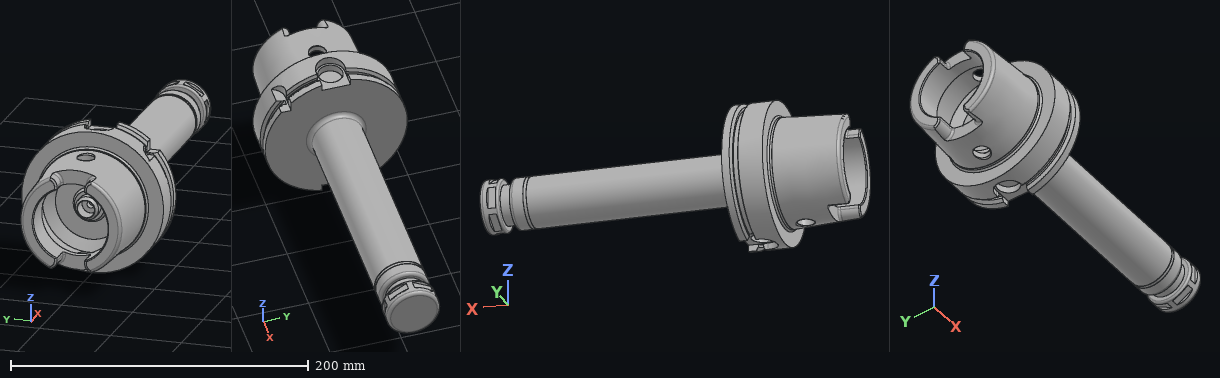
import cadquery as cq
import math


total_length = 260.0
relief_start = 47.0
flange_start = 50.0
flange_end = 78.8
neck_end = 239.5
nut_start = 246.5

mouth_radius = 35.5
taper_end_radius = 38.0
relief_radius = 38.2
flange_radius = 100.0 / 2
neck_radius = 36.0 / 2
stem_radius = 28.0 / 2
nut_radius = 18.7

mouth_round = 2.0
relief_flare = 1.3
neck_root_fillet = 3.0
neck_end_round = 2.3
nut_back_round = 1.5
nut_front_round = 2.3

groove_mouth_start = 67.0
groove_floor_start = 68.0
groove_floor_end = 71.8
groove_mouth_end = 73.3
groove_floor_radius = 45.8
groove_bevel_radius = 47.5

ring_groove_start = 227.0
ring_groove_end = 229.3
ring_groove_depth = 0.3

bore_radius = 26.3
bore_straight_end = 19.5
undercut_radius = 32.5
undercut_shoulder_angle = 60.0
undercut_end = 41.0
bore_floor_radius = 24.7
bore_depth = 45.5
bore_mouth_chamfer = 0.8

tube_tip = 35.0
tube_radius = 16.5 / 2
tube_tip_radius = 12.7 / 2
tube_bore_diameter = 12.0
tube_chamfer_length = 2.3
collar_start = 43.0
collar_radius = 12.2
collar_face_radius = 10.7
coolant_hole_diameter = 5.0
coolant_hole_depth = 5.2
coolant_jet_diameter = 2.0
coolant_jet_depth = 10.5

drive_slot_half_width = 9.75
drive_slot_upper_depth = 10.1
drive_slot_lower_depth = 15.0
drive_slot_floor_fillet = 1.5
drive_slot_mouth_flare = 1.5
drive_slot_flare_depth = 0.8
lug_round_start = 26.5
lug_round_radius = 6.0

access_x = 34.8
access_diameter = 12.0
access_chamfer = 0.65

key_center_x = 65.0
key_width = 20.0
key_floor = 44.5
key_hole_diameter = 17.0
key_hole_depth = 5.5
notch_inset = 31.7

flat_count = 6
flat_distance = 17.2
flat_outer_start = 248.3
flat_outer_end = 254.8
flat_wall_slope = 0.65


round_middle = 1 - math.sqrt(0.5)


def turned(profile):
    """Revolve a closed XY half profile about the X axis."""
    return profile.close().revolve(360, (0, 0, 0), (1, 0, 0))


def holder_body():
    """Outer turned shape from the taper mouth to the face of the nut."""
    profile = (
        cq.Workplane("XY")
        .moveTo(0, 0)
        .lineTo(0, mouth_radius - mouth_round)
        .threePointArc(
            (mouth_round * round_middle, mouth_radius - mouth_round * round_middle),
            (mouth_round, mouth_radius),
        )
        .lineTo(relief_start, taper_end_radius)
        .lineTo(relief_start, relief_radius)
        .lineTo(flange_start - relief_flare, relief_radius)
        .lineTo(flange_start, relief_radius + relief_flare)
        .lineTo(flange_start, flange_radius)
        .lineTo(groove_mouth_start, flange_radius)
        .lineTo(groove_floor_start, groove_bevel_radius)
        .lineTo(groove_floor_start, groove_floor_radius)
        .lineTo(groove_floor_end, groove_floor_radius)
        .lineTo(groove_floor_end, groove_bevel_radius)
        .lineTo(groove_mouth_end, flange_radius)
        .lineTo(flange_end, flange_radius)
        .lineTo(flange_end, neck_radius + neck_root_fillet)
        .threePointArc(
            (
                flange_end + neck_root_fillet * round_middle,
                neck_radius + neck_root_fillet * round_middle,
            ),
            (flange_end + neck_root_fillet, neck_radius),
        )
        .lineTo(ring_groove_start, neck_radius)
        .lineTo(ring_groove_start, neck_radius - ring_groove_depth)
        .lineTo(ring_groove_end, neck_radius - ring_groove_depth)
        .lineTo(ring_groove_end, neck_radius)
        .lineTo(neck_end - neck_end_round, neck_radius)
        .threePointArc(
            (neck_end - neck_end_round * round_middle, neck_radius - neck_end_round * round_middle),
            (neck_end, neck_radius - neck_end_round),
        )
        .lineTo(neck_end, stem_radius)
        .lineTo(nut_start, stem_radius)
        .lineTo(nut_start, nut_radius - nut_back_round)
        .threePointArc(
            (nut_start + nut_back_round * round_middle, nut_radius - nut_back_round * round_middle),
            (nut_start + nut_back_round, nut_radius),
        )
        .lineTo(total_length - nut_front_round, nut_radius)
        .threePointArc(
            (
                total_length - nut_front_round * round_middle,
                nut_radius - nut_front_round * round_middle,
            ),
            (total_length, nut_radius - nut_front_round),
        )
        .lineTo(total_length, 0)
    )
    return turned(profile)


def bore():
    """Undercut cavity of the hollow taper, leaving the coolant tube and its collar standing."""
    shoulder_rise = undercut_radius - bore_radius
    shoulder_length = shoulder_rise / math.tan(math.radians(undercut_shoulder_angle))
    profile = (
        cq.Workplane("XY")
        .moveTo(0, 0)
        .lineTo(0, bore_radius + bore_mouth_chamfer)
        .lineTo(bore_mouth_chamfer, bore_radius)
        .lineTo(bore_straight_end, bore_radius)
        .lineTo(bore_straight_end + shoulder_length, undercut_radius)
        .lineTo(undercut_end, undercut_radius)
        .lineTo(bore_depth, bore_floor_radius)
        .lineTo(bore_depth, collar_radius)
        .lineTo(collar_start, collar_face_radius)
        .lineTo(collar_start, tube_radius)
        .lineTo(tube_tip + tube_chamfer_length, tube_radius)
        .lineTo(tube_tip, tube_tip_radius)
        .lineTo(tube_tip, 0)
    )
    return turned(profile)


def coolant_passage():
    """Bore of the coolant tube, stepping down to a hole and a fine jet in its floor."""
    tube_bore = (
        cq.Workplane("YZ", origin=(tube_tip, 0, 0))
        .circle(tube_bore_diameter / 2)
        .extrude(bore_depth - tube_tip)
    )
    floor_plane = cq.Workplane("YZ", origin=(bore_depth, 0, 0))
    hole = floor_plane.circle(coolant_hole_diameter / 2).extrude(coolant_hole_depth)
    jet = floor_plane.circle(coolant_jet_diameter / 2).extrude(coolant_jet_depth)
    return tube_bore.union(hole).union(jet)


def drive_slot_outline():
    """Slot section seen along X: straight flanks that round outward over the lugs."""
    half = drive_slot_half_width
    outer_half = half + lug_round_radius
    lug_top = lug_round_start + lug_round_radius
    bottom = bore_radius / 2
    top = flange_radius
    mid_y = half + lug_round_radius * round_middle
    mid_z = lug_top - lug_round_radius * round_middle
    return (
        cq.Workplane("YZ")
        .moveTo(-half, bottom)
        .lineTo(half, bottom)
        .lineTo(half, lug_round_start)
        .threePointArc((mid_y, mid_z), (outer_half, lug_top))
        .lineTo(outer_half, top)
        .lineTo(-outer_half, top)
        .lineTo(-outer_half, lug_top)
        .threePointArc((-mid_y, mid_z), (-half, lug_round_start))
        .close()
    )


def drive_slot(depth):
    """Drive slot on the +Z side, filleted at its floor and bevelled at its mouth."""
    slot = drive_slot_outline().extrude(depth).faces(">X").edges().fillet(drive_slot_floor_fillet)
    flare_angle = math.degrees(math.atan2(drive_slot_mouth_flare, drive_slot_flare_depth))
    flare = (
        drive_slot_outline()
        .offset2D(drive_slot_mouth_flare)
        .extrude(drive_slot_flare_depth, taper=flare_angle)
    )
    return slot.union(flare)


def access_hole():
    """Radial hole on the +Z side, chamfered where it leaves the taper."""
    slope = (taper_end_radius - mouth_radius) / (relief_start - mouth_round)
    surface_radius = mouth_radius + slope * (access_x - mouth_round)
    hole_radius = access_diameter / 2
    hole = (
        cq.Workplane("XY", origin=(access_x, 0, bore_radius))
        .circle(hole_radius)
        .extrude(flange_radius - bore_radius)
    )
    chamfer = cq.Solid.makeCone(
        hole_radius,
        hole_radius + 2 * access_chamfer,
        2 * access_chamfer,
        pnt=cq.Vector(access_x, 0, surface_radius - access_chamfer),
    )
    return hole.union(cq.Workplane(chamfer))


def open_slot(center_y, floor):
    """Round-ended slot of the key width, cut down to a floor height and open toward +X."""
    height = flange_radius
    end = cq.Workplane("XY", origin=(key_center_x, center_y, floor)).circle(key_width / 2).extrude(height)
    run = cq.Workplane("XY").box(
        flange_end - key_center_x, key_width, height, centered=(False, True, False)
    )
    return end.union(run.translate((key_center_x, center_y, floor)))


def key_slot():
    """Key slot on the +Z side with a blind hole in its floor."""
    hole = (
        cq.Workplane("XY", origin=(key_center_x, 0, key_floor - key_hole_depth))
        .circle(key_hole_diameter / 2)
        .extrude(key_hole_depth)
    )
    return open_slot(0, key_floor).union(hole)


def wrench_flat():
    """Flat recess on the +Y side of the nut with sloping end walls."""
    outer = nut_radius + flat_wall_slope
    return (
        cq.Workplane("XY")
        .moveTo(flat_outer_start, outer)
        .lineTo(flat_outer_start, nut_radius)
        .lineTo(flat_outer_start + flat_wall_slope, flat_distance)
        .lineTo(flat_outer_end - flat_wall_slope, flat_distance)
        .lineTo(flat_outer_end, nut_radius)
        .lineTo(flat_outer_end, outer)
        .close()
        .extrude(nut_radius, both=True)
    )


def opposite(cutter):
    """The same cutter on the -Z side."""
    return cutter.mirror("XY")


result = holder_body().cut(bore()).cut(coolant_passage())

result = result.cut(drive_slot(drive_slot_upper_depth))
result = result.cut(opposite(drive_slot(drive_slot_lower_depth)))

for side_cutter in (access_hole(), key_slot()):
    result = result.cut(side_cutter).cut(opposite(side_cutter))

result = result.cut(open_slot(-notch_inset - key_width / 2, notch_inset))

for index in range(flat_count):
    result = result.cut(wrench_flat().rotate((0, 0, 0), (1, 0, 0), index * 360 / flat_count))